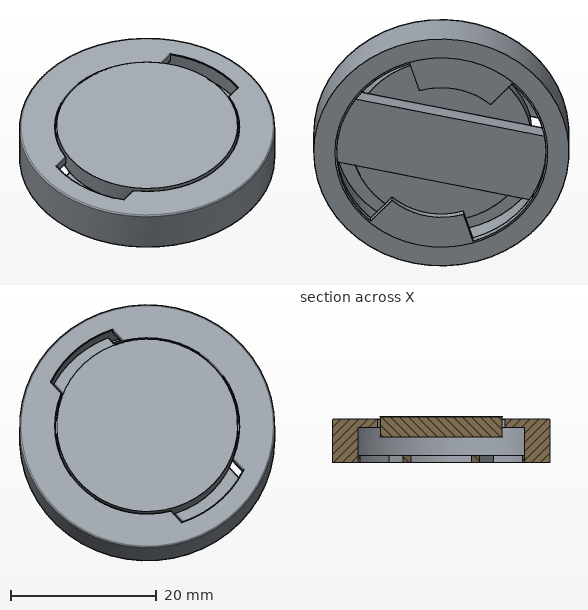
import cadquery as cq

ring_radius = 17.5
ring_height = 6.0
rim_fillet = 0.2

flange_thickness = 1.2
bore_radius = 12.6
notch_width = 11.3
opening_fillet = 0.1

cavity_radius = 14.6

base_thickness = 1.0
base_opening_radius = 14.35
base_pad_inner_radius = 10.0
base_pad_angle = 60.0

bar_top = 3.5
bar_radius = 14.5
bar_width = 10.0
bar_fillet = 0.1

disc_radius = 12.4
disc_top = 6.29

flange_bottom = ring_height - flange_thickness


def cylinder(radius, bottom, top):
    """Upright cylinder about Z between two heights."""
    return cq.Workplane("XY").workplane(offset=bottom).circle(radius).extrude(top - bottom)


def round_ended_bar(radius, width, bottom, top):
    """Bar along Y whose two ends follow a circle about Z."""
    blank = cq.Workplane("XY").workplane(offset=bottom).rect(width, 2 * radius).extrude(top - bottom)
    return blank.intersect(cylinder(radius, bottom, top))


def make_ring():
    """Ring with the filleted flange openings at the top and the cavity below."""
    body = cylinder(ring_radius, 0, ring_height)
    body = body.faces(">Z").edges().fillet(rim_fillet)
    bore = cylinder(bore_radius, flange_bottom, ring_height)
    notches = round_ended_bar(cavity_radius, notch_width, flange_bottom, ring_height)
    body = body.cut(bore.union(notches))
    opening_rim = body.faces(">Z").wires(cq.selectors.LengthNthSelector(0))
    body = opening_rim.edges().fillet(opening_fillet)
    return body.cut(cylinder(cavity_radius, 0, flange_bottom))


def make_base():
    """Thin annulus with two pads that reach inwards about the X axis."""
    body = cylinder(cavity_radius, 0, base_thickness).cut(cylinder(base_opening_radius, 0, base_thickness))
    profile = (
        cq.Workplane("XZ")
        .moveTo(base_pad_inner_radius, 0)
        .lineTo(cavity_radius, 0)
        .lineTo(cavity_radius, base_thickness)
        .lineTo(base_pad_inner_radius, base_thickness)
        .close()
    )
    pad = profile.revolve(base_pad_angle, (0, 0, 0), (0, 1, 0))
    for start_angle in (0, 180):
        turn = start_angle - base_pad_angle / 2
        body = body.union(pad.rotate((0, 0, 0), (0, 0, 1), turn))
    return body


def make_bar():
    body = round_ended_bar(bar_radius, bar_width, base_thickness, bar_top)
    return body.faces(">Z").edges("|Y").fillet(bar_fillet)


def make_disc():
    return cylinder(disc_radius, bar_top, disc_top)


ring = make_ring()
base = make_base()
bar = make_bar()
disc = make_disc()
result = cq.Compound.makeCompound([ring.val(), base.val(), bar.val(), disc.val()])